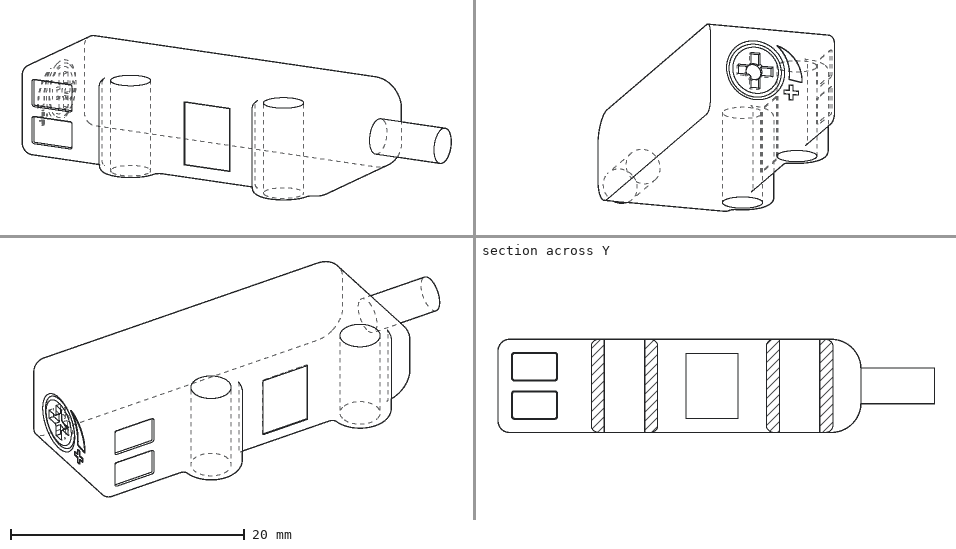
import cadquery as cq
import math

TOTAL_LENGTH = 37.35
TOTAL_DEPTH = 14.0
HEIGHT = 8.0
BODY_LENGTH = 31.05
LEFT_CORNER_RADIUS = 1.0
RIGHT_ARC_LENGTH = 2.55
RIGHT_ARC_DROP = 2.15
FRONT_EDGE_RADIUS = 0.5

LUG_RADIUS = 2.7
LUG_CENTRES_X = (10.85, 25.8)
LUG_HOLE_RADIUS = 1.7
NECK_RADIUS = 0.25
BODY_DEPTH = TOTAL_DEPTH - LUG_RADIUS
FRONT_Y = -BODY_DEPTH
CLEARANCE = 0.05

AXIS_Y = -4.07
CABLE_RADIUS = 1.55

WINDOW_LENGTH = 3.92
WINDOW_HEIGHT = 2.43
WINDOW_CENTRE_X = 3.15
WINDOW_CENTRE_Z = 1.65
WINDOW_CORNER_RADIUS = 0.22
WINDOW_DEPTH = 0.15
WINDOW_TAPER = 30.0
LABEL_LENGTH = 4.45
LABEL_HEIGHT = 5.55
LABEL_CENTRE_X = 18.3
LABEL_DEPTH = 0.1

GROOVE_OUTER_RADIUS = 2.6
GROOVE_BOTTOM_RADIUS = 2.35
GROOVE_INNER_RADIUS = 2.05
GROOVE_DEPTH = 0.1
DRIVE_SPAN = 3.1
DRIVE_WIDTH = 0.82
DRIVE_DEPTH = 0.45
DRIVE_CORE_RADIUS = 0.7
DRIVE_CORE_DEPTH = 0.75

MARK_DEPTH = 0.07
WEDGE_INNER_RADIUS = 3.05
WEDGE_TIP_ANGLE = 51.0
WEDGE_END_ANGLE = -10.0
WEDGE_OUTER_MIDDLE = (3.32, 1.57)
WEDGE_OUTER_END = (4.2, -0.7)
PLUS_CENTRE = (3.2, -1.68)
PLUS_SPAN = 1.3
PLUS_WIDTH = 0.35


def polar(radius, angle):
    """Point at a radius and an angle in degrees."""
    return (radius * math.cos(math.radians(angle)), radius * math.sin(math.radians(angle)))


def side_block():
    """Block with rounded left corners and large arcs that run out on the flat right end."""
    top = HEIGHT / 2
    flat_z = top - RIGHT_ARC_DROP
    arc_start = BODY_LENGTH - RIGHT_ARC_LENGTH
    arc_radius = (RIGHT_ARC_LENGTH**2 + RIGHT_ARC_DROP**2) / (2 * RIGHT_ARC_DROP)
    return (
        cq.Workplane("XZ")
        .moveTo(0, -top)
        .lineTo(arc_start, -top)
        .radiusArc((BODY_LENGTH, -flat_z), -arc_radius)
        .lineTo(BODY_LENGTH, flat_z)
        .radiusArc((arc_start, top), -arc_radius)
        .lineTo(0, top)
        .close()
        .extrude(TOTAL_DEPTH)
        .edges("<X and |Y")
        .fillet(LEFT_CORNER_RADIUS)
    )


def plan_block():
    """Full-height block with both lugs and the small rounds at their necks."""
    block = cq.Workplane("XY").box(BODY_LENGTH, BODY_DEPTH, HEIGHT, centered=(False, False, True))
    block = block.translate((0, FRONT_Y, 0))
    lugs = (
        cq.Workplane("XY", origin=(0, FRONT_Y, -HEIGHT / 2))
        .pushPoints([(x, 0) for x in LUG_CENTRES_X])
        .circle(LUG_RADIUS)
        .extrude(HEIGHT)
    )
    necks = cq.selectors.BoxSelector(
        (LUG_CENTRES_X[0] - LUG_RADIUS - NECK_RADIUS, FRONT_Y - NECK_RADIUS, -HEIGHT),
        (LUG_CENTRES_X[-1] + LUG_RADIUS + NECK_RADIUS, FRONT_Y + NECK_RADIUS, HEIGHT),
    )
    return block.union(lugs).edges("|Z").edges(necks).fillet(NECK_RADIUS)


def housing():
    """Body and lugs with the whole front outline rounded and the lug holes bored."""
    edge_zone = cq.selectors.BoxSelector(
        (-CLEARANCE, -TOTAL_DEPTH, -HEIGHT),
        (TOTAL_LENGTH, FRONT_Y + CLEARANCE, HEIGHT),
    )
    lug_uprights = cq.selectors.BoxSelector(
        (LUG_CENTRES_X[0] - LUG_RADIUS - NECK_RADIUS, -TOTAL_DEPTH, -CLEARANCE),
        (LUG_CENTRES_X[-1] + LUG_RADIUS + NECK_RADIUS, FRONT_Y + CLEARANCE, CLEARANCE),
    )
    body = side_block().intersect(plan_block())
    body = body.edges(edge_zone - lug_uprights).fillet(FRONT_EDGE_RADIUS)
    holes = (
        cq.Workplane("XY", origin=(0, FRONT_Y, -HEIGHT / 2))
        .pushPoints([(x, 0) for x in LUG_CENTRES_X])
        .circle(LUG_HOLE_RADIUS)
        .extrude(HEIGHT)
    )
    return body.cut(holes)


def cable():
    """Round cable leaving the right end."""
    return (
        cq.Workplane("YZ", origin=(BODY_LENGTH, AXIS_Y, 0))
        .circle(CABLE_RADIUS)
        .extrude(TOTAL_LENGTH - BODY_LENGTH)
    )


def front_recesses():
    """Cutters for the two tapered windows and the shallow label recess."""
    front = cq.Workplane("XZ", origin=(0, FRONT_Y, 0))
    cutters = (
        front.center(LABEL_CENTRE_X, 0)
        .rect(LABEL_LENGTH, LABEL_HEIGHT)
        .extrude(-LABEL_DEPTH)
    )
    for z in (WINDOW_CENTRE_Z, -WINDOW_CENTRE_Z):
        outline = cq.Sketch().rect(WINDOW_LENGTH, WINDOW_HEIGHT).vertices().fillet(WINDOW_CORNER_RADIUS)
        window = (
            cq.Workplane("XZ", origin=(WINDOW_CENTRE_X, FRONT_Y, z))
            .placeSketch(outline)
            .extrude(-WINDOW_DEPTH, taper=WINDOW_TAPER)
        )
        cutters = cutters.union(window)
    return cutters


def left_end():
    """Workplane on the left end, centred on the trimmer: first axis along -Y, second along Z."""
    return cq.Workplane(cq.Plane(origin=(0, AXIS_Y, 0), xDir=(0, -1, 0), normal=(-1, 0, 0)))


def trimmer():
    """Cutter for the V groove around the screw and its cross drive with a deeper core."""
    groove = (
        cq.Workplane("XY", origin=(0, AXIS_Y, 0))
        .moveTo(0, GROOVE_INNER_RADIUS)
        .lineTo(GROOVE_DEPTH, GROOVE_BOTTOM_RADIUS)
        .lineTo(0, GROOVE_OUTER_RADIUS)
        .close()
        .revolve(360, (0, 0, 0), (1, 0, 0))
    )
    drive = (
        left_end().rect(DRIVE_SPAN, DRIVE_WIDTH).extrude(-DRIVE_DEPTH)
        .union(left_end().rect(DRIVE_WIDTH, DRIVE_SPAN).extrude(-DRIVE_DEPTH))
        .union(left_end().circle(DRIVE_CORE_RADIUS).extrude(-DRIVE_CORE_DEPTH))
    )
    return groove.union(drive)


def turning_marks():
    """Cutter for the engraved curved wedge and plus sign."""
    tip = polar(WEDGE_INNER_RADIUS, WEDGE_TIP_ANGLE)
    inner_middle = polar(WEDGE_INNER_RADIUS, (WEDGE_TIP_ANGLE + WEDGE_END_ANGLE) / 2)
    inner_end = polar(WEDGE_INNER_RADIUS, WEDGE_END_ANGLE)
    wedge = (
        left_end()
        .moveTo(*tip)
        .threePointArc(inner_middle, inner_end)
        .lineTo(*WEDGE_OUTER_END)
        .threePointArc(WEDGE_OUTER_MIDDLE, tip)
        .close()
        .extrude(-MARK_DEPTH)
    )
    plus = left_end().center(*PLUS_CENTRE)
    return (
        wedge
        .union(plus.rect(PLUS_SPAN, PLUS_WIDTH).extrude(-MARK_DEPTH))
        .union(plus.rect(PLUS_WIDTH, PLUS_SPAN).extrude(-MARK_DEPTH))
    )


result = housing().union(cable()).cut(front_recesses()).cut(trimmer()).cut(turning_marks())